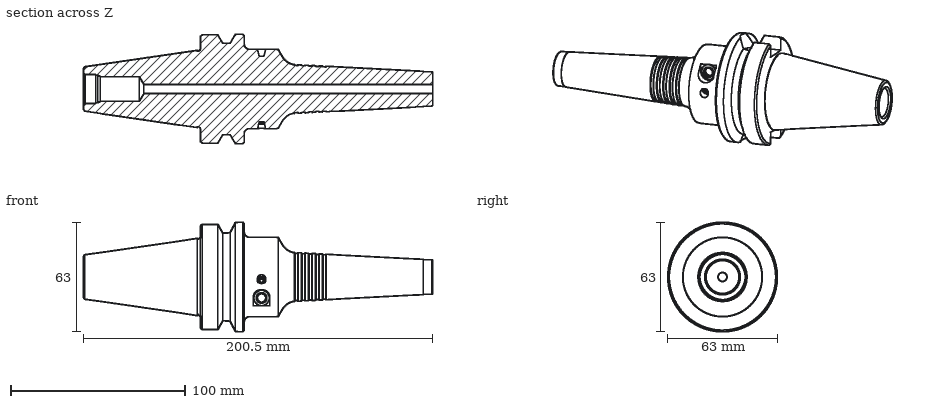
import cadquery as cq
import math


total_length = 200.5
gauge_x = 65.3
gauge_radius = 22.2
taper_per_length = 7 / 48
tail_chamfer_length = 0.8
tail_chamfer_drop = 1.0
relief_radius = 21.6

flange_start = 67.1
flange_end = 92.4
flange_radius = 31.5
rear_flange_radius = 31.3
flange_chamfer = 1.0
groove_floor_radius = 26.5
groove_floor_start = 80.0
groove_floor_end = 84.2
groove_wall_angle = 30
groove_wall_slope = math.tan(math.radians(groove_wall_angle))
rear_wall_start = groove_floor_start - (rear_flange_radius - groove_floor_radius) * groove_wall_slope
front_wall_end = groove_floor_end + (flange_radius - groove_floor_radius) * groove_wall_slope

key_width = 16.0
key_floor = 22.5
key_end = 88.4

body_radius = 22.8
flange_fillet = 2.8
body_end = 110.8
body_edge_length = 1.0
body_edge_drop = 0.2
shoulder_angle = 60
shoulder_end = 114.2

tip_radius = 10.0
tip_length = 5.5
tip_chamfer = 0.6
nose_end_radius = 10.2
nose_angle = 3
nose_start = 120.2
nose_end = total_length - tip_length

ring_count = 5
ring_first = 121.0
ring_pitch = 4.0
ring_width = 2.2
ring_wall = 0.5
ring_depth = 0.5

entry_radius = 9.2
pilot_radius = 8.2
pilot_depth = 7.0
thread_radius = 7.8
thread_start = 8.5
core_radius = 7.0
core_start = 9.8
core_end = 32.0
coolant_diameter = 5.0
coolant_radius = coolant_diameter / 2
drill_point_angle = 59

screw_x = 102.2
pocket_width = 9.6
pocket_floor = 15.8
pocket_screw_z = -12.0
pocket_screw_radius = 4.5
pocket_screw_face_radius = 3.0
pocket_socket_radius = 2.5
small_screw_z = -1.2
small_screw_radius = 2.5
small_screw_face_radius = 1.6
small_socket_radius = 1.2
small_screw_depth = 3.2
small_screw_tilt = 14
socket_depth = 1.6


def drill_tip(radius):
    """Length of the conical bottom of a drilled hole."""
    return radius / math.tan(math.radians(drill_point_angle))


def nose_radius(x):
    """Radius of the nose cone at x."""
    return nose_end_radius + (nose_end - x) * math.tan(math.radians(nose_angle))


def turned_body():
    """Solid turned shape from the tail to the nose tip."""
    tail_radius = gauge_radius - gauge_x * taper_per_length
    angle = math.radians(shoulder_angle)
    edge_x = body_end + body_edge_length
    edge_radius = body_radius - body_edge_drop
    shoulder_radius = edge_radius - (shoulder_end - edge_x) * math.tan(angle)
    relief_fillet = flange_start - gauge_x
    relief_side = relief_fillet * math.sqrt(0.5)
    fillet_side = flange_fillet * (1 - math.sqrt(0.5))
    outline = (
        cq.Workplane("XY")
        .moveTo(0, 0)
        .lineTo(0, tail_radius - tail_chamfer_drop)
        .lineTo(tail_chamfer_length, tail_radius + tail_chamfer_length * taper_per_length)
        .lineTo(gauge_x, gauge_radius)
        .lineTo(gauge_x, relief_radius)
        .threePointArc(
            (gauge_x + relief_side, relief_radius + relief_fillet - relief_side),
            (flange_start, relief_radius + relief_fillet),
        )
        .lineTo(flange_start, rear_flange_radius - flange_chamfer)
        .lineTo(flange_start + flange_chamfer, rear_flange_radius)
        .lineTo(rear_wall_start, rear_flange_radius)
        .lineTo(groove_floor_start, groove_floor_radius)
        .lineTo(groove_floor_end, groove_floor_radius)
        .lineTo(front_wall_end, flange_radius)
        .lineTo(flange_end - flange_chamfer, flange_radius)
        .lineTo(flange_end, flange_radius - flange_chamfer)
        .lineTo(flange_end, body_radius + flange_fillet)
        .threePointArc(
            (flange_end + fillet_side, body_radius + fillet_side),
            (flange_end + flange_fillet, body_radius),
        )
        .lineTo(body_end, body_radius)
        .lineTo(edge_x, edge_radius)
        .lineTo(shoulder_end, shoulder_radius)
        .tangentArcPoint((nose_start, nose_radius(nose_start)), relative=False)
        .lineTo(nose_end, nose_radius(nose_end))
        .lineTo(nose_end, tip_radius)
        .lineTo(total_length - tip_chamfer, tip_radius)
        .lineTo(total_length, tip_radius - tip_chamfer)
        .lineTo(total_length, 0)
        .close()
    )
    return outline.revolve(360, (0, 0, 0), (1, 0, 0))


def nose_ring(start):
    """Shallow groove with sloped sides round the nose cone."""
    end = start + ring_width
    band = (
        cq.Workplane("XY")
        .moveTo(start, nose_radius(start))
        .lineTo(start + ring_wall, nose_radius(start + ring_wall) - ring_depth)
        .lineTo(end - ring_wall, nose_radius(end - ring_wall) - ring_depth)
        .lineTo(end, nose_radius(end))
        .lineTo(end, nose_radius(start))
        .close()
    )
    return band.revolve(360, (0, 0, 0), (1, 0, 0))


def tail_bore():
    """Stepped bore from the tail, ending in a coolant hole through to the tip."""
    outline = (
        cq.Workplane("XY")
        .moveTo(0, 0)
        .lineTo(0, entry_radius)
        .lineTo(entry_radius - pilot_radius, pilot_radius)
        .lineTo(pilot_depth, pilot_radius)
        .lineTo(pilot_depth, thread_radius)
        .lineTo(thread_start, thread_radius)
        .lineTo(core_start, core_radius)
        .lineTo(core_end, core_radius)
        .lineTo(core_end + drill_tip(core_radius) - drill_tip(coolant_radius), coolant_radius)
        .lineTo(total_length, coolant_radius)
        .lineTo(total_length, 0)
        .close()
    )
    return outline.revolve(360, (0, 0, 0), (1, 0, 0))


def keyway():
    """Round-ended drive slot on the +Z side, open toward the tail."""
    half = key_width / 2
    height = flange_radius - key_floor
    round_end_x = key_end - half
    straight_length = round_end_x - gauge_x
    slot = (
        cq.Workplane("XY", origin=(gauge_x, 0, key_floor))
        .moveTo(0, -half)
        .lineTo(straight_length, -half)
        .threePointArc((straight_length + half, 0), (straight_length, half))
        .lineTo(0, half)
        .close()
    )
    return slot.extrude(height)


def screw_gap(face, hole_radius, face_radius, socket_radius):
    """Space around a screw: the gap beside its chamfered rim, and its socket."""
    gap_depth = (hole_radius - face_radius) / 2
    socket_end = -socket_depth - drill_tip(socket_radius)
    gap = (
        cq.Workplane("XZ")
        .moveTo(face_radius, 0)
        .lineTo(hole_radius, 0)
        .lineTo(hole_radius, -gap_depth)
        .close()
        .revolve(360, (0, 0, 0), (0, 1, 0))
    )
    socket = (
        cq.Workplane("XZ")
        .lineTo(socket_radius, 0)
        .lineTo(socket_radius, -socket_depth)
        .lineTo(0, socket_end)
        .close()
        .revolve(360, (0, 0, 0), (0, 1, 0))
    )
    return gap.union(socket).val().located(cq.Location(face))


def pocket():
    """Round-ended pocket in the -Y side, open toward -Z, with a flat floor and a screw in it."""
    floor = cq.Plane((screw_x, -pocket_floor, pocket_screw_z), (1, 0, 0), (0, -1, 0))
    half = pocket_width / 2
    outline = (
        cq.Workplane(floor)
        .moveTo(-half, -body_radius)
        .lineTo(-half, 0)
        .threePointArc((0, half), (half, 0))
        .lineTo(half, -body_radius)
        .close()
    )
    gap = screw_gap(floor, pocket_screw_radius, pocket_screw_face_radius, pocket_socket_radius)
    return outline.extrude(body_radius).union(cq.Workplane(gap))


def small_screw_hole():
    """Tilted hole in the -Y side with a screw sunk into it."""
    tilt = math.radians(small_screw_tilt)
    outward = cq.Vector(0, -math.cos(tilt), math.sin(tilt))
    face_centre = cq.Vector(screw_x, -body_radius, small_screw_z) - outward * small_screw_depth
    face = cq.Plane(face_centre, (1, 0, 0), outward)
    hole = cq.Workplane(face).circle(small_screw_radius).extrude(2 * small_screw_depth)
    gap = screw_gap(face, small_screw_radius, small_screw_face_radius, small_socket_radius)
    return hole.union(cq.Workplane(gap))


result = turned_body().cut(tail_bore())
for i in range(ring_count):
    result = result.cut(nose_ring(ring_first + i * ring_pitch))
for turn in (0, 180):
    for recess in (keyway(), pocket(), small_screw_hole()):
        result = result.cut(recess.rotate((0, 0, 0), (1, 0, 0), turn))